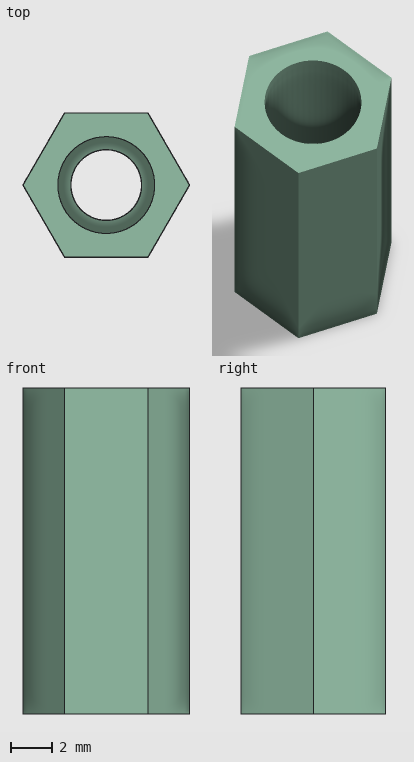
import cadquery as cq
import math

length = 15.8
across_flats = 7.0
across_corners = across_flats / math.cos(math.pi / 6)
through_diameter = 3.41
counterbore_diameter = 4.7
counterbore_depth = length / 2

body = cq.Workplane("XY").polygon(6, across_corners).extrude(length)

result = (
    body.faces(">Z")
    .workplane()
    .cboreHole(through_diameter, counterbore_diameter, counterbore_depth)
)